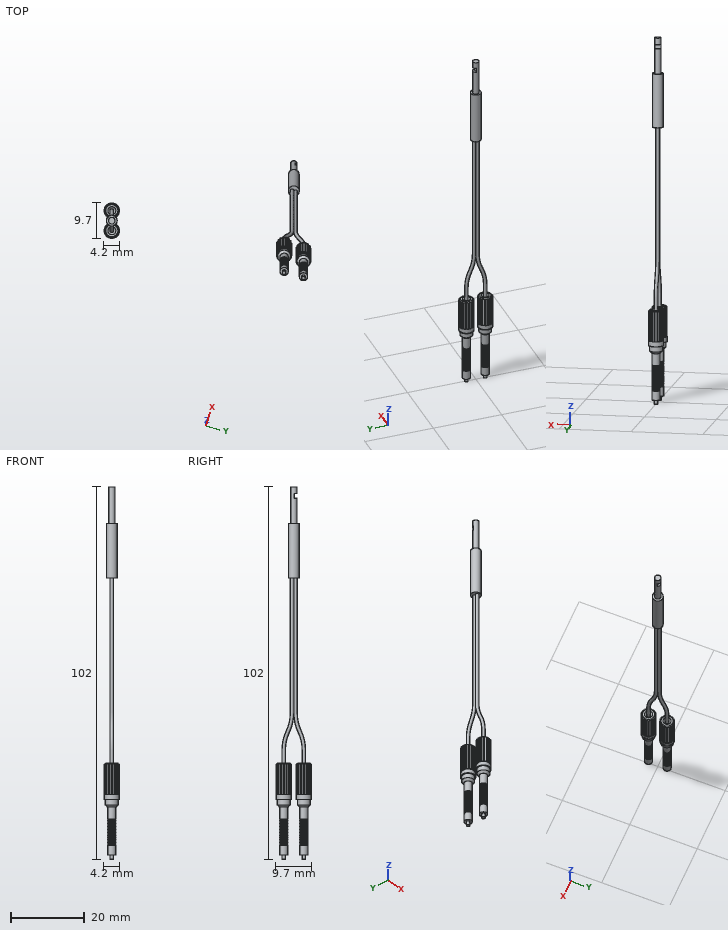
import cadquery as cq

TOTAL_LENGTH = 102.0

TIP_DIAMETER = 1.8
TIP_LENGTH = 10.0
SLEEVE_DIAMETER = 3.0
SLEEVE_LENGTH = 15.0
NOTCH_BELOW_TOP = 2.45
NOTCH_WIDTH = 1.2
NOTCH_FLOOR_Y = 0.15

CABLE_DIAMETER = 1.0
CONNECTOR_SPACING = 5.5
BEND_TOP_Z = 40.0
BEND_BOTTOM_Z = 30.0

BARREL_BOTTOM_Z = 1.2
THREAD_BOTTOM_Z = 3.8
THREAD_TOP_Z = 11.0
NECK_BOTTOM_Z = 14.3
COLLAR_BOTTOM_Z = 16.4
KNURL_BOTTOM_Z = 17.8
KNOB_TOP_Z = 26.4

BARREL_DIAMETER = 2.3
NECK_DIAMETER = 3.6
NECK_CHAMFER = 0.65
KNOB_DIAMETER = 4.2
KNOB_CHAMFER = 0.45
COUNTERSINK_DIAMETER = 2.2
COUNTERSINK_DEPTH = 0.7

THREAD_TURNS = 18
THREAD_DEPTH = 0.15
KNURL_GROOVES = 16
KNURL_GROOVE_WIDTH = 0.5
KNURL_GROOVE_DEPTH = 0.2

SLEEVE_TOP_Z = TOTAL_LENGTH - TIP_LENGTH
SLEEVE_BOTTOM_Z = SLEEVE_TOP_Z - SLEEVE_LENGTH
CABLE_RADIUS = CABLE_DIAMETER / 2
CONNECTOR_Y = CONNECTOR_SPACING / 2
SIDES = (-1, 1)


def make_tip():
    """Round tip with a flat-floored notch across X, open to the +Y side."""
    tip = cq.Workplane("XY", origin=(0, 0, SLEEVE_TOP_Z)).circle(TIP_DIAMETER / 2).extrude(TIP_LENGTH)
    notch = (
        cq.Workplane("XY", origin=(0, NOTCH_FLOOR_Y, TOTAL_LENGTH - NOTCH_BELOW_TOP))
        .box(TIP_DIAMETER, TIP_DIAMETER, NOTCH_WIDTH, centered=(True, False, True))
    )
    return tip.cut(notch)


def make_sleeve():
    """Plain cylinder between the tip and the cables."""
    return (
        cq.Workplane("XY", origin=(0, 0, SLEEVE_BOTTOM_Z))
        .circle(SLEEVE_DIAMETER / 2)
        .extrude(SLEEVE_LENGTH)
    )


def make_cable(side):
    """Round cable swept from the sleeve through an S-bend of two equal arcs to Z = 0."""
    top_y = CABLE_RADIUS
    half_shift = (CONNECTOR_Y - top_y) / 2
    half_drop = (BEND_TOP_Z - BEND_BOTTOM_Z) / 2
    middle_y = top_y + half_shift
    middle_z = BEND_BOTTOM_Z + half_drop
    path = (
        cq.Workplane("YZ")
        .moveTo(side * top_y, SLEEVE_BOTTOM_Z)
        .lineTo(side * top_y, BEND_TOP_Z)
        .tangentArcPoint((side * middle_y, middle_z), relative=False)
        .tangentArcPoint((side * CONNECTOR_Y, BEND_BOTTOM_Z), relative=False)
        .lineTo(side * CONNECTOR_Y, 0)
    )
    return (
        cq.Workplane("XY", origin=(0, side * top_y, SLEEVE_BOTTOM_Z))
        .circle(CABLE_RADIUS)
        .sweep(path)
    )


def make_connector_blank():
    """Revolved barrel with ring grooves for its thread, neck, knob and countersunk cable bore."""
    barrel_radius = BARREL_DIAMETER / 2
    neck_radius = NECK_DIAMETER / 2
    knob_radius = KNOB_DIAMETER / 2
    profile = cq.Workplane("XZ").moveTo(CABLE_RADIUS, BARREL_BOTTOM_Z)
    profile = profile.lineTo(barrel_radius, BARREL_BOTTOM_Z)
    profile = profile.lineTo(barrel_radius, THREAD_BOTTOM_Z)
    pitch = (THREAD_TOP_Z - THREAD_BOTTOM_Z) / THREAD_TURNS
    for turn in range(THREAD_TURNS):
        root_z = THREAD_BOTTOM_Z + (turn + 0.5) * pitch
        profile = profile.lineTo(barrel_radius - THREAD_DEPTH, root_z)
        profile = profile.lineTo(barrel_radius, root_z + pitch / 2)
    return (
        profile.lineTo(barrel_radius, NECK_BOTTOM_Z)
        .lineTo(neck_radius, NECK_BOTTOM_Z + NECK_CHAMFER)
        .lineTo(neck_radius, COLLAR_BOTTOM_Z)
        .lineTo(knob_radius, COLLAR_BOTTOM_Z)
        .lineTo(knob_radius, KNOB_TOP_Z - KNOB_CHAMFER)
        .lineTo(knob_radius - KNOB_CHAMFER, KNOB_TOP_Z)
        .lineTo(COUNTERSINK_DIAMETER / 2, KNOB_TOP_Z)
        .lineTo(CABLE_RADIUS, KNOB_TOP_Z - COUNTERSINK_DEPTH)
        .close()
        .revolve(360, (0, 0), (0, 1))
    )


def make_knurl_grooves():
    """Straight flat-bottomed grooves, evenly spaced around the knob above the collar."""
    step = 360 / KNURL_GROOVES
    groove = (
        cq.Workplane("XY", origin=(0, 0, KNURL_BOTTOM_Z))
        .center(KNOB_DIAMETER / 2, 0)
        .rect(2 * KNURL_GROOVE_DEPTH, KNURL_GROOVE_WIDTH)
        .extrude(KNOB_TOP_Z - KNURL_BOTTOM_Z)
    )
    return [
        groove.rotate((0, 0, 0), (0, 0, 1), (number + 0.5) * step)
        for number in range(KNURL_GROOVES)
    ]


def make_connector(side):
    """Knurled, threaded connector around one cable end."""
    connector = make_connector_blank()
    for groove in make_knurl_grooves():
        connector = connector.cut(groove)
    return connector.translate((0, side * CONNECTOR_Y, 0))


tip = make_tip()
sleeve = make_sleeve()
cables = [make_cable(side) for side in SIDES]
connectors = [make_connector(side) for side in SIDES]

result = cq.Compound.makeCompound(
    [
        tip.val(),
        sleeve.val(),
        *[cable.val() for cable in cables],
        *[connector.val() for connector in connectors],
    ]
)